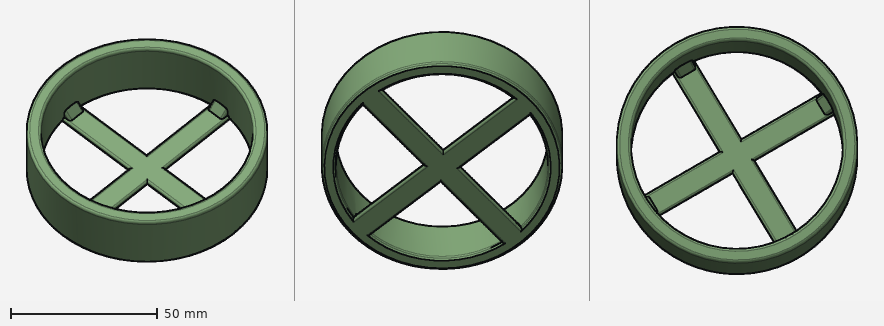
import cadquery as cq

outer_diameter = 82.5
inner_diameter = 72.5
height = 22.0
top_round = 1.0
bottom_chamfer = 1.0
chamfer_corner_round = 1.0

bar_width = 8.7
bar_thickness = 2.0
bar_round = 0.8

wedge_width = bar_width - 2 * bar_round
wedge_length = 3.05
wedge_height = wedge_length
wedge_round = 0.9

inner_radius = inner_diameter / 2
wall = (outer_diameter - inner_diameter) / 2
bar_reach = inner_radius + wall / 2


def make_ring():
    ring = cq.Workplane("XY").circle(outer_diameter / 2).circle(inner_radius).extrude(height)
    ring = ring.faces(">Z").edges().fillet(top_round)
    ring = ring.faces("<Z").edges().chamfer(bottom_chamfer)
    corners = ring.edges(
        cq.selectors.BoxSelector(
            (-outer_diameter, -outer_diameter, bottom_chamfer / 2),
            (outer_diameter, outer_diameter, 2 * bottom_chamfer),
        )
    ).edges("%CIRCLE")
    return corners.fillet(chamfer_corner_round)


def make_cross():
    bar_along_x = cq.Workplane("XY").box(
        2 * bar_reach, bar_width, bar_thickness, centered=(True, True, False)
    )
    bar_along_y = bar_along_x.rotate((0, 0, 0), (0, 0, 1), 90)
    cross = bar_along_x.union(bar_along_y)
    return cross.faces("<Z or >Z").edges().fillet(bar_round)


def make_wedge(angle):
    top = bar_thickness + wedge_height
    profile = [
        (inner_radius - wedge_length, bar_thickness),
        (inner_radius, top),
        (bar_reach, top),
        (bar_reach, bar_thickness),
    ]
    wedge = (
        cq.Workplane("XZ")
        .polyline(profile)
        .close()
        .extrude(wedge_width / 2, both=True)
    )
    slope_sides = wedge.faces("<X").edges("not #X").edges("not |Y")
    return slope_sides.fillet(wedge_round).rotate((0, 0, 0), (0, 0, 1), angle)


result = make_ring().union(make_cross())
for quarter in range(4):
    result = result.union(make_wedge(90 * quarter))